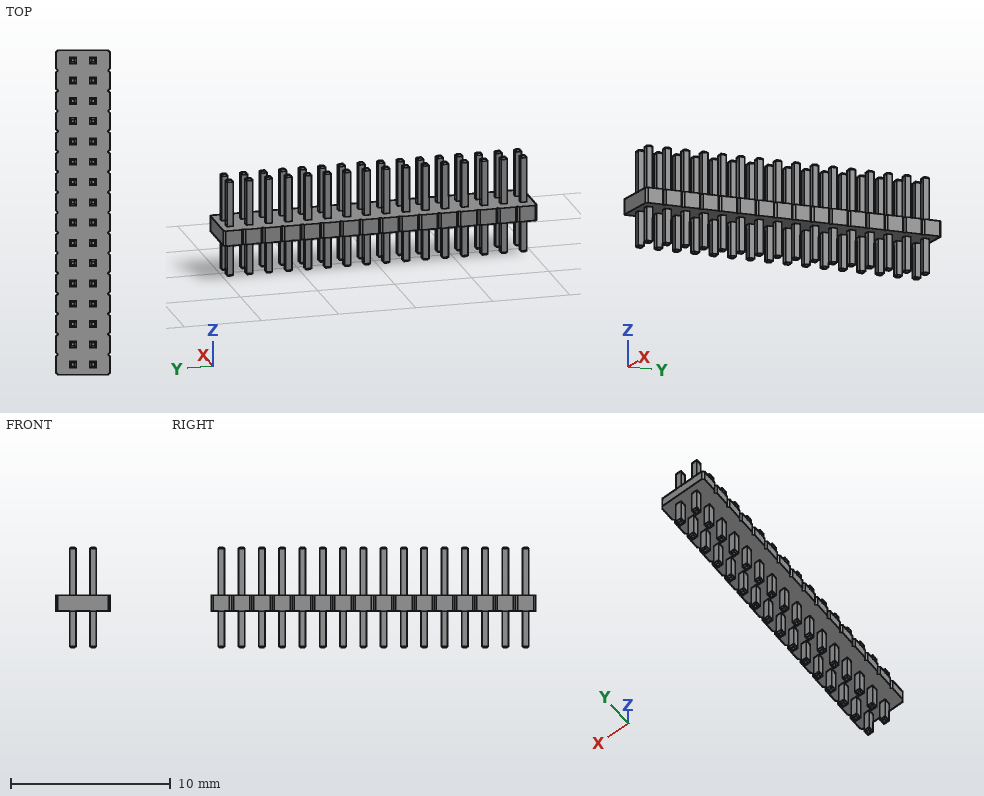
import cadquery as cq

length = 20.32
rows = 16
columns = 2
pitch = length / rows
housing_width = 3.4
housing_height = 1.0
corner_bevel = 0.125

pin_side = 0.4
pin_above = 3.0
pin_below = 2.3
pin_length = pin_below + housing_height + pin_above
tip_bevel = 0.1


def make_housing():
    """Bar along Y with bevelled corners and V notches between the cells."""
    bar = cq.Workplane("XY").box(housing_width, length, housing_height, centered=(True, True, False))
    bar = bar.edges("|Z").chamfer(corner_bevel)

    diamond_sides = 4
    notch_centers = [
        (side * housing_width / 2, i * pitch - length / 2)
        for side in (-1, 1)
        for i in range(1, rows)
    ]
    notches = (
        cq.Workplane("XY")
        .pushPoints(notch_centers)
        .polygon(diamond_sides, 2 * corner_bevel)
        .extrude(housing_height)
    )
    return bar.cut(notches)


def make_pins():
    """Grid of square pins, each with a bevelled top and bottom tip."""
    return (
        cq.Workplane("XY")
        .workplane(offset=-pin_below)
        .rarray(pitch, pitch, columns, rows)
        .rect(pin_side, pin_side)
        .extrude(pin_length)
        .faces("<Z or >Z")
        .edges()
        .chamfer(tip_bevel)
    )


result = make_housing().union(make_pins())